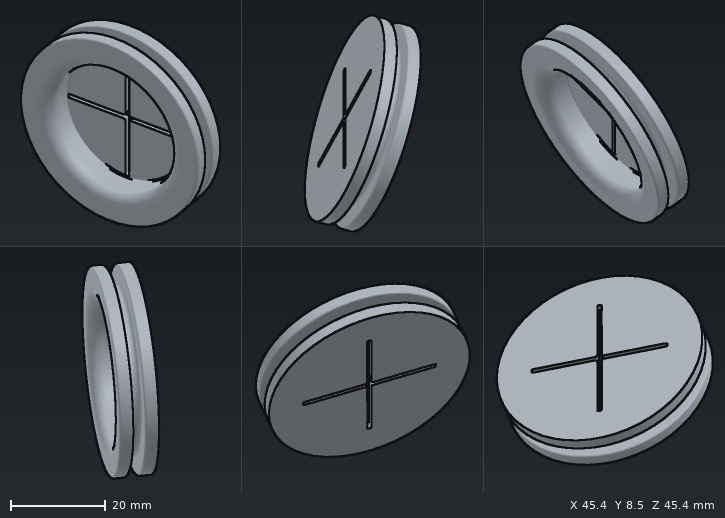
import cadquery as cq
import math

outer_radius = 22.7
flange_width = 3.0
groove_width = 2.5
groove_depth = 5.0
edge_radius = 0.5
total_width = 2 * flange_width + groove_width
front_y = -total_width / 2
back_y = total_width / 2

bore_radius = 15.2
mouth_radius = 3.0
membrane_thickness = 1.6
membrane_fillet = 0.25
membrane_y = back_y - membrane_thickness

slit_width = 0.95
slit_length = 29.95
slit_corner_radius = 0.45


def make_body():
    """Revolve the half section: two flanges, a round-bottomed groove and a blind bore."""
    diagonal = math.sqrt(0.5)
    edge_inset = edge_radius * (1 - diagonal)
    mouth_inset = mouth_radius * (1 - diagonal)
    fillet_inset = membrane_fillet * (1 - diagonal)
    rim_radius = outer_radius - edge_radius
    groove_half = groove_width / 2
    groove_floor = outer_radius - groove_depth
    groove_arc_start = groove_floor + groove_half

    section = (
        cq.Workplane("XY")
        .moveTo(0, back_y)
        .lineTo(outer_radius, back_y)
        .lineTo(outer_radius, groove_half + edge_radius)
        .threePointArc((outer_radius - edge_inset, groove_half + edge_inset), (rim_radius, groove_half))
        .lineTo(groove_arc_start, groove_half)
        .threePointArc((groove_floor, 0), (groove_arc_start, -groove_half))
        .lineTo(rim_radius, -groove_half)
        .threePointArc(
            (outer_radius - edge_inset, -groove_half - edge_inset),
            (outer_radius, -groove_half - edge_radius),
        )
        .lineTo(outer_radius, front_y + edge_radius)
        .threePointArc((outer_radius - edge_inset, front_y + edge_inset), (rim_radius, front_y))
        .lineTo(bore_radius + mouth_radius, front_y)
        .threePointArc(
            (bore_radius + mouth_inset, front_y + mouth_inset),
            (bore_radius, front_y + mouth_radius),
        )
        .lineTo(bore_radius, membrane_y - membrane_fillet)
        .threePointArc(
            (bore_radius - fillet_inset, membrane_y - fillet_inset),
            (bore_radius - membrane_fillet, membrane_y),
        )
        .lineTo(0, membrane_y)
        .close()
    )
    return section.revolve(360, (0, 0, 0), (0, 1, 0))


def make_slits():
    """Cross of two round-ended slits with rounded corners where they meet."""
    cross = None
    for angle in (0, 90):
        slit = (
            cq.Workplane("XZ", origin=(0, back_y, 0))
            .slot2D(slit_length, slit_width, angle)
            .extrude(membrane_thickness + membrane_fillet)
        )
        cross = slit if cross is None else cross.union(slit)
    crossing = cq.selectors.BoxSelector(
        (-slit_width, front_y, -slit_width), (slit_width, back_y, slit_width)
    )
    return cross.edges("|Y").edges(crossing).fillet(slit_corner_radius)


result = make_body().cut(make_slits())